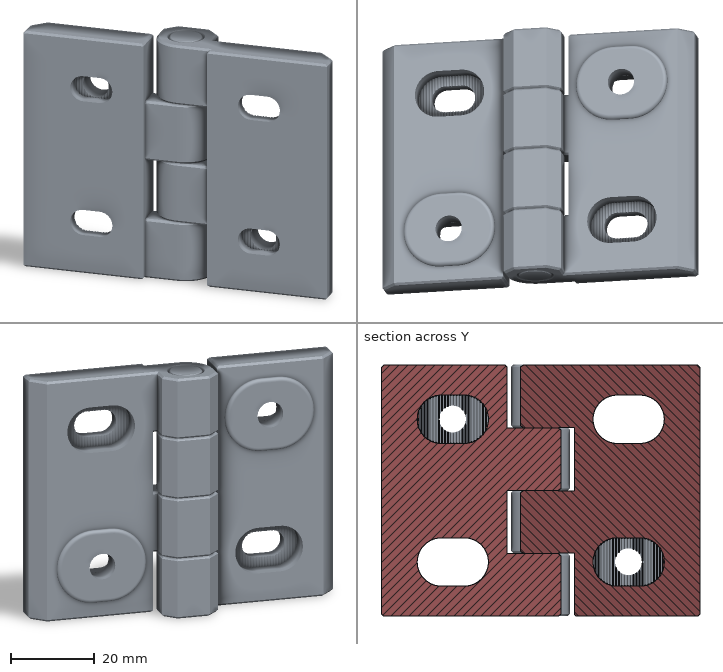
import cadquery as cq


half_width = 38.0
height = 60.0
plate_thickness = 8.0
plate_inner_x = 8.0
back_corner_chamfer = 3.5
edge_chamfer = 0.5

knuckle_count = 4
knuckle_radius = 7.0
knuckle_front_y = 1.5
knuckle_back_y = 15.0
knuckle_corner_chamfer = 3.0
knuckle_length = height / knuckle_count
knuckle_root_x = plate_inner_x + 2 * edge_chamfer
axis_y = knuckle_front_y + knuckle_radius

pin_radius = 4.1
pin_chamfer = 0.4
pin_countersink = 0.45

slot_x = 21.0
slot_z = 17.0
slot_radius = 3.2
slot_straight = 4.1
recess_radius = 5.7
recess_straight = 5.5
recess_crest_y = 3.05

tooth_pitch = 0.7
tooth_depth = tooth_pitch / 2
tooth_count = 25
tooth_offset = 0.2

washer_radius = 9.05
washer_straight = slot_straight
washer_rise = 1.1
washer_edge_radius = 0.9
washer_crest_y = recess_crest_y + tooth_depth


def half_turn(body):
    """Turn a body half a revolution about the Y axis, onto the other leaf."""
    return body.rotate((0, 0, 0), (0, 1, 0), 180)


def chamfered_slab(outline, z_bottom, length):
    """Extrude an XY outline along Z and chamfer the edges of both ends."""
    block = outline.extrude(length).faces("<Z or >Z").chamfer(edge_chamfer)
    return block.translate((0, 0, z_bottom))


def obround_prism(straight, radius, y_start, y_end, center_z):
    """Round-ended bar along Y, elongated along X, centred on a slot of the left leaf."""
    return (
        cq.Workplane("XZ", origin=(-slot_x, y_start, center_z))
        .slot2D(straight + 2 * radius, 2 * radius)
        .extrude(y_start - y_end)
    )


def toothed_plug(crest_y, center_z):
    """Round-ended plug that fills a recess up to the plate back, with teeth at its front end."""
    root_y = crest_y + tooth_depth
    row_start = tooth_offset - tooth_count * tooth_pitch / 2
    outline = cq.Workplane("XY").moveTo(row_start, root_y)
    for tooth in range(tooth_count):
        tooth_start = row_start + tooth * tooth_pitch
        outline = outline.lineTo(tooth_start + tooth_pitch / 2, crest_y)
        outline = outline.lineTo(tooth_start + tooth_pitch, root_y)
    row_end = row_start + tooth_count * tooth_pitch
    outline = outline.lineTo(row_end, plate_thickness).lineTo(row_start, plate_thickness).close()
    teeth = outline.extrude(recess_radius, both=True).translate((-slot_x, 0, center_z))
    blank = obround_prism(recess_straight, recess_radius, 0, plate_thickness, center_z)
    return blank.intersect(teeth)


def make_plate():
    """Flat plate of the left leaf, with its outer back corner cut off at 45 degrees."""
    outline = (
        cq.Workplane("XY")
        .moveTo(-half_width, 0)
        .lineTo(-plate_inner_x, 0)
        .lineTo(-plate_inner_x, plate_thickness)
        .lineTo(-half_width + back_corner_chamfer, plate_thickness)
        .lineTo(-half_width, plate_thickness - back_corner_chamfer)
        .close()
    )
    return chamfered_slab(outline, -height / 2, height)


def make_knuckle(z_bottom):
    """Knuckle around the pin axis, with a root that reaches into the plate of the left leaf."""
    outline = (
        cq.Workplane("XY")
        .moveTo(-knuckle_root_x, knuckle_front_y)
        .lineTo(0, knuckle_front_y)
        .radiusArc((knuckle_radius, axis_y), -knuckle_radius)
        .lineTo(knuckle_radius, knuckle_back_y - knuckle_corner_chamfer)
        .lineTo(knuckle_radius - knuckle_corner_chamfer, knuckle_back_y)
        .lineTo(-knuckle_radius + knuckle_corner_chamfer, knuckle_back_y)
        .lineTo(-knuckle_radius, knuckle_back_y - knuckle_corner_chamfer)
        .lineTo(-knuckle_radius, plate_thickness)
        .lineTo(-knuckle_root_x, plate_thickness)
        .close()
    )
    return chamfered_slab(outline, z_bottom, knuckle_length)


def make_pin_hole():
    """Pin bore with a countersink at the bottom end."""
    bottom_center = cq.Vector(0, axis_y, -height / 2)
    bore = cq.Workplane("XY", origin=bottom_center.toTuple()).circle(pin_radius).extrude(height)
    countersink = cq.Solid.makeCone(
        pin_radius + pin_countersink, pin_radius, pin_countersink, pnt=bottom_center
    )
    return bore.union(cq.Workplane(countersink))


def make_left_leaf():
    """Plate with every second knuckle, counted from the bottom."""
    leaf = make_plate()
    for position in range(0, knuckle_count, 2):
        leaf = leaf.union(make_knuckle(-height / 2 + position * knuckle_length))
    leaf = leaf.cut(make_pin_hole())
    for center_z in (-slot_z, slot_z):
        leaf = leaf.cut(obround_prism(slot_straight, slot_radius, 0, plate_thickness, center_z))
        leaf = leaf.cut(toothed_plug(recess_crest_y, center_z))
    return leaf


def make_pin():
    """Plain pin through all the knuckles, chamfered at both ends."""
    return (
        cq.Workplane("XY", origin=(0, axis_y, -height / 2))
        .circle(pin_radius)
        .extrude(height)
        .faces("<Z or >Z")
        .chamfer(pin_chamfer)
    )


def make_washer():
    """Washer at the upper slot of the left leaf: flange, toothed plug and round screw hole."""
    back_y = plate_thickness + washer_rise
    flange = obround_prism(washer_straight, washer_radius, plate_thickness, back_y, slot_z)
    flange = flange.faces(">Y").edges().fillet(washer_edge_radius)
    hole = cq.Workplane("XZ", origin=(-slot_x, 0, slot_z)).circle(slot_radius).extrude(-back_y)
    return flange.union(toothed_plug(washer_crest_y, slot_z)).cut(hole)


left_leaf = make_left_leaf()
right_leaf = half_turn(left_leaf)
pin = make_pin()
left_washer = make_washer()
right_washer = half_turn(left_washer)

result = cq.Compound.makeCompound(
    [left_leaf.val(), right_leaf.val(), pin.val(), left_washer.val(), right_washer.val()]
)